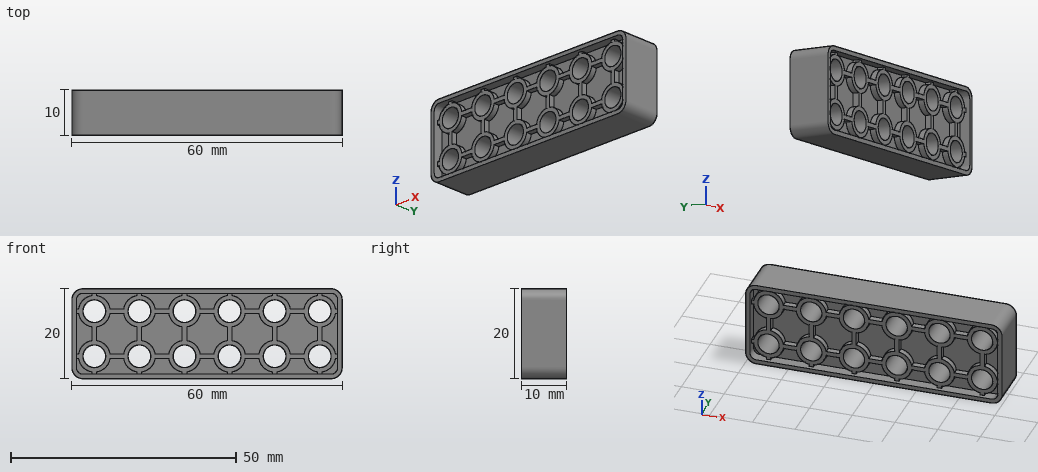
import cadquery as cq

length = 60.0
columns = 6
rows = 2
pitch = length / columns
height = rows * pitch
depth = pitch

wall = 1.0
corner_radius = 2.5
inner_corner_radius = corner_radius - wall
cavity_depth = 2.5

hole_diameter = 5.0
tube_diameter = 7.0
rib_thickness = 1.0
web_recess = 1.0

cavity_length = length - 2 * wall
cavity_height = height - 2 * wall
web_depth = cavity_depth - web_recess


def front_plane(distance):
    """Plane at a distance behind the open front face; negative extrusions run toward +Y."""
    origin = (0, distance - depth / 2, 0)
    return cq.Workplane(cq.Plane(origin=origin, xDir=(1, 0, 0), normal=(0, -1, 0)))


def cell_grid(distance):
    """Workplane with one point at the centre of every cell."""
    return front_plane(distance).rarray(pitch, pitch, columns, rows)


def rounded_block(block_length, block_height, block_depth, radius):
    """Block from the front face back, with its four edges along Y rounded."""
    block = front_plane(0).rect(block_length, block_height).extrude(-block_depth)
    return block.edges("|Y").fillet(radius)


def make_tray():
    outer = rounded_block(length, height, depth, corner_radius)
    cavity = rounded_block(cavity_length, cavity_height, cavity_depth, inner_corner_radius)
    return outer.cut(cavity)


def make_web():
    """Tubes and the wall-to-wall ribs through their centres, set back from the rim."""
    tubes = cell_grid(web_recess).circle(tube_diameter / 2).extrude(-web_depth)
    row_ribs = (
        front_plane(web_recess)
        .rarray(pitch, pitch, 1, rows)
        .rect(cavity_length, rib_thickness)
        .extrude(-web_depth)
    )
    column_ribs = (
        front_plane(web_recess)
        .rarray(pitch, pitch, columns, 1)
        .rect(rib_thickness, cavity_height)
        .extrude(-web_depth)
    )
    return tubes.union(row_ribs).union(column_ribs)


holes = cell_grid(0).circle(hole_diameter / 2).extrude(-depth)
result = make_tray().union(make_web()).cut(holes)